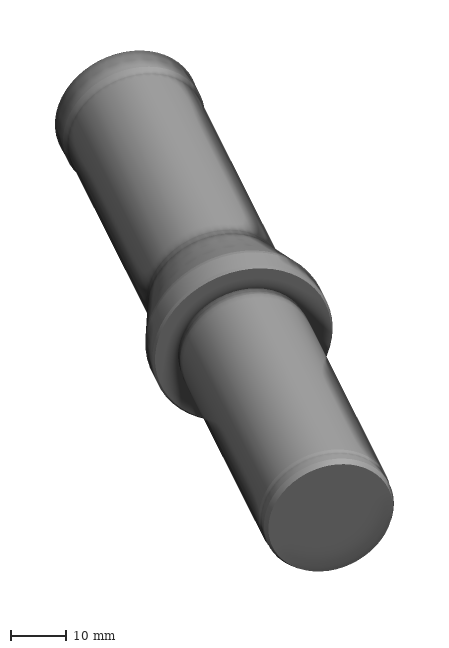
import cadquery as cq
import math

overall_length = 132.0

head_diameter = 26.9
head_length = 7.8
head_taper_start = 6.2
head_back_diameter = 26.8
corner_radius = 0.8
rim_setback = 0.5
dimple_diameter = 13.2
dimple_depth = 0.5

neck_diameter = 26.0
flare_start = 59.8
neck_blend_length = 1.6
neck_blend_rise = 0.3
flare_end = 70.6
flange_diameter = 34.0
flange_start = 71.4
flange_blend_rise = 0.1
flange_end = 76.0
flange_chamfer = 0.4

shank_diameter = 25.0
relief_diameter = 24.5
relief_end = 76.8
shank_start = 78.0
shank_end = 128.3
tip_start = 129.1
tip_chamfer_length = 1.0
tip_chamfer_depth = 0.5


def revolve_about_x(profile):
    """Turn a closed half profile, drawn as (x, radius), into a solid about X."""
    return profile.close().revolve(360, (0, 0, 0), (1, 0, 0))


def make_head():
    """Cutting head with a dimpled end face, rounded corner and tapered back."""
    radius = head_diameter / 2
    rim_radius = radius - corner_radius
    corner_end = rim_setback + corner_radius
    arc_offset = corner_radius * math.sqrt(0.5)
    arc_middle = (corner_end - arc_offset, rim_radius + arc_offset)
    return revolve_about_x(
        cq.Workplane("XY")
        .moveTo(dimple_depth, 0)
        .lineTo(0, dimple_diameter / 2)
        .lineTo(rim_setback, rim_radius)
        .threePointArc(arc_middle, (corner_end, radius))
        .lineTo(head_taper_start, head_back_diameter / 2)
        .lineTo(head_length, neck_diameter / 2)
        .lineTo(head_length, 0)
    )


def make_holder():
    """Neck, flared flange and shank as one turned body."""
    neck_radius = neck_diameter / 2
    flange_radius = flange_diameter / 2
    shank_radius = shank_diameter / 2
    relief_radius = relief_diameter / 2
    return revolve_about_x(
        cq.Workplane("XY")
        .moveTo(head_length, 0)
        .lineTo(head_length, neck_radius)
        .lineTo(flare_start - neck_blend_length, neck_radius)
        .lineTo(flare_start, neck_radius + neck_blend_rise)
        .lineTo(flare_end, flange_radius - flange_blend_rise)
        .lineTo(flange_start, flange_radius)
        .lineTo(flange_end - flange_chamfer, flange_radius)
        .lineTo(flange_end, flange_radius - flange_chamfer)
        .lineTo(flange_end, relief_radius)
        .lineTo(relief_end, relief_radius)
        .lineTo(shank_start, shank_radius)
        .lineTo(shank_end, shank_radius)
        .lineTo(tip_start, relief_radius)
        .lineTo(overall_length - tip_chamfer_length, relief_radius)
        .lineTo(overall_length, relief_radius - tip_chamfer_depth)
        .lineTo(overall_length, 0)
    )


head = make_head()
holder = make_holder()

result = cq.Compound.makeCompound([head.val(), holder.val()])